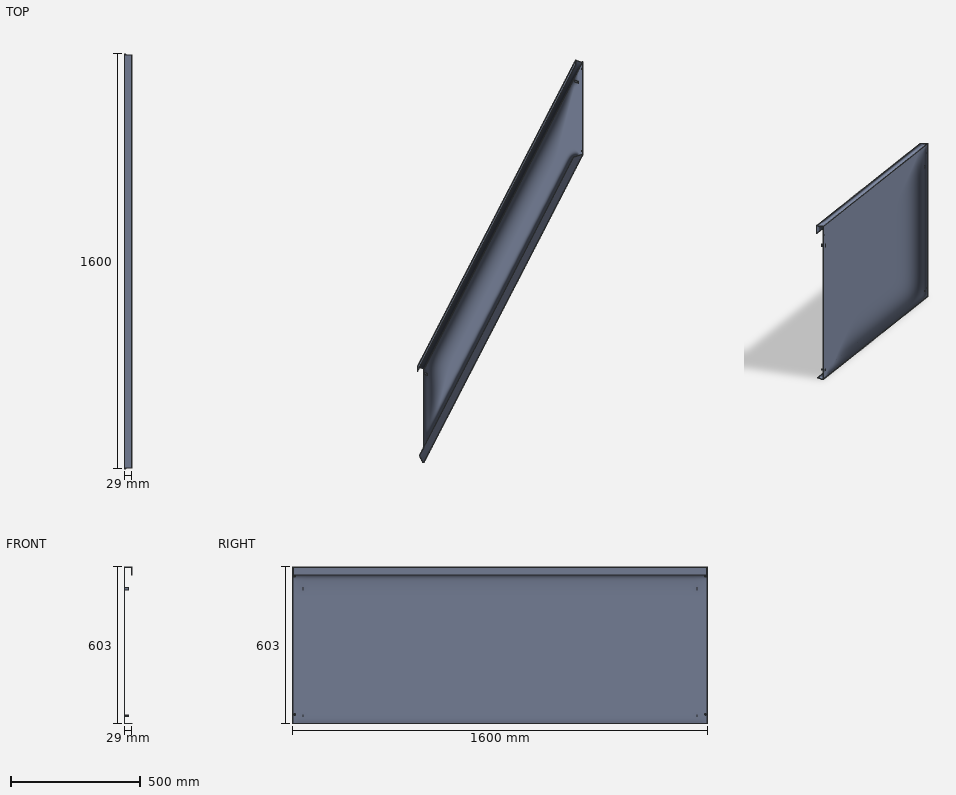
import cadquery as cq

length = 1600.0
height = 603.0
depth = 29.0
sheet = 1.0
lip_drop = 30.0
top_setback = 3.0
miter_start = 5.0

hole_diameter = 5.0
hole_end_offset = 8.0
hole_edge_offset = 35.0

tab_end_offset = 40.0
tab_reach = 16.0
tab_height = 11.0
lower_tab_height = 5.0
upper_tab_drop = 83.0
lower_tab_rise = 30.0

front_x = -depth / 2
top_length = length - 2 * top_setback
hole_y = length / 2 - hole_end_offset
hole_z = height / 2 - hole_edge_offset
tab_y = length / 2 - tab_end_offset - sheet / 2


def plate(x_start, x_size, y_size, z_center, z_size):
    """Box starting at a given X, centred on Y = 0 and on the given Z."""
    return (
        cq.Workplane("XY")
        .box(x_size, y_size, z_size, centered=(False, True, True))
        .translate((x_start, 0, z_center))
    )


body = plate(front_x, sheet, length, 0, height)

top_flange_z = (height - sheet) / 2
body = body.union(plate(front_x, depth, top_length, top_flange_z, sheet))

miter_run = depth - miter_start
bottom_flange = (
    cq.Workplane("XY", origin=(0, 0, -height / 2))
    .polyline(
        [
            (front_x, -length / 2),
            (front_x + miter_start, -length / 2),
            (front_x + depth, -length / 2 + miter_run),
            (front_x + depth, length / 2 - miter_run),
            (front_x + miter_start, length / 2),
            (front_x, length / 2),
        ]
    )
    .close()
    .extrude(sheet)
)
body = body.union(bottom_flange)

lip_z = (height - lip_drop) / 2
body = body.union(plate(depth / 2 - sheet, sheet, top_length, lip_z, lip_drop))

tab_levels = (
    (height / 2 - upper_tab_drop, tab_height),
    (-height / 2 + lower_tab_rise, lower_tab_height),
)
for tab_z, tab_size in tab_levels:
    tab = plate(front_x, sheet + tab_reach, sheet, tab_z, tab_size)
    for side in (-1, 1):
        body = body.union(tab.translate((0, side * tab_y, 0)))

holes = (
    cq.Workplane("YZ", origin=(front_x, 0, 0))
    .rect(2 * hole_y, 2 * hole_z, forConstruction=True)
    .vertices()
    .circle(hole_diameter / 2)
    .extrude(sheet)
)

result = body.cut(holes)